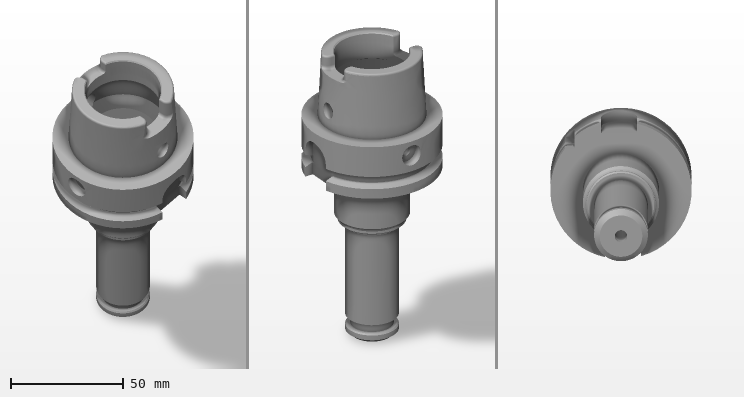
import cadquery as cq
import math

FEATURE_TURN = -12.0

TAPER_TOP = 32.0
TAPER_GAUGE_Z = 6.3
TAPER_GAUGE_RADIUS = 24.005
TAPER_RATIO = 9.98
RIM_ROUNDING = 1.0

BORE_RADIUS = 17.0
BORE_CHAMFER = 0.5
LIP_Z = 19.0
CLAMP_RADIUS = 20.0
CLAMP_ANGLE = 60.0
CLAMP_FLOOR_Z = 6.0
BORE_FLOOR_RADIUS = 15.6
TUBE_HOLE_RADIUS = 8.5
TUBE_HOLE_BOTTOM = -12.0
COOLANT_RADIUS = 2.75

DRIVE_WIDTH = 12.54
DRIVE_DEPTH_SHALLOW = 6.3
DRIVE_DEPTH_DEEP = 10.0
TOOTH_CORNER_RADIUS = 3.0
DRIVE_FLOOR_FILLET = 1.5

CROSS_HOLE_RADIUS = 3.75
CROSS_HOLE_Z = 8.8

FLANGE_RADIUS = 31.5
FLANGE_BOTTOM = -26.0
GROOVE_Z = -18.125
GROOVE_FLOOR_WIDTH = 3.6
GROOVE_RADIUS = 27.5
GROOVE_LEDGE_RADIUS = 28.3
FLANK_HEIGHT = 1.3

KEYWAY_WIDTH = 16.0
KEYWAY_TOP = -5.0
KEYWAY_FLOOR = 26.5

NOTCH_FLOOR = 20.0
NOTCH_EDGE = 20.0
NOTCH_RADIUS = 5.0
NOTCH_TOP = -5.5

CARRIER_RADIUS = 5.0
CARRIER_FLOOR = 27.0
CARRIER_Z = -7.1
PILOT_RADIUS = 2.0
PILOT_DEPTH = 2.5
PILOT_TIP_ANGLE = 118.0

NOSE_RADIUS = 17.0
NOSE_BOTTOM = -49.2
NOSE_CHAMFER = 1.0
SPIGOT_RADIUS = 15.4
SPIGOT_CONE_HEIGHT = 1.0
SPIGOT_BOTTOM = -53.0
SPIGOT_CHAMFER = 0.6
UPPER_NECK_RADIUS = 10.0
SHAFT_TOP = -55.0
SHAFT_RADIUS = 12.0
SHAFT_BOTTOM = -100.4
LOWER_NECK_RADIUS = 9.75
HEAD_TOP = -105.0
HEAD_TOP_CHAMFER = 0.6
HEAD_CONE_TOP = -108.0
HEAD_TIP_RADIUS = 9.5
PART_BOTTOM = -110.0

MARGIN = 5.0
SELECT_SLACK = 0.1


def taper_radius(z):
    return TAPER_GAUGE_RADIUS + (TAPER_GAUGE_Z - z) / (2 * TAPER_RATIO)


def revolved(points):
    """Solid of revolution about Z from (radius, z) points."""
    return cq.Workplane("XZ").polyline(points).close().revolve(360, (0, 0), (0, 1))


def outer_body():
    half_floor = GROOVE_FLOOR_WIDTH / 2
    groove_top = GROOVE_Z + half_floor
    groove_low = GROOVE_Z - half_floor
    body = revolved([
        (0, TAPER_TOP),
        (taper_radius(TAPER_TOP), TAPER_TOP),
        (taper_radius(0), 0),
        (FLANGE_RADIUS, 0),
        (FLANGE_RADIUS, groove_top + FLANK_HEIGHT),
        (GROOVE_LEDGE_RADIUS, groove_top),
        (GROOVE_RADIUS, groove_top),
        (GROOVE_RADIUS, groove_low),
        (GROOVE_LEDGE_RADIUS, groove_low),
        (FLANGE_RADIUS, groove_low - FLANK_HEIGHT),
        (FLANGE_RADIUS, FLANGE_BOTTOM),
        (NOSE_RADIUS, FLANGE_BOTTOM),
        (NOSE_RADIUS, NOSE_BOTTOM),
        (NOSE_RADIUS - NOSE_CHAMFER, NOSE_BOTTOM - NOSE_CHAMFER),
        (SPIGOT_RADIUS, NOSE_BOTTOM - NOSE_CHAMFER - SPIGOT_CONE_HEIGHT),
        (SPIGOT_RADIUS, SPIGOT_BOTTOM + SPIGOT_CHAMFER),
        (SPIGOT_RADIUS - SPIGOT_CHAMFER, SPIGOT_BOTTOM),
        (UPPER_NECK_RADIUS, SPIGOT_BOTTOM),
        (UPPER_NECK_RADIUS, SHAFT_TOP),
        (SHAFT_RADIUS, SHAFT_TOP),
        (SHAFT_RADIUS, SHAFT_BOTTOM),
        (LOWER_NECK_RADIUS, SHAFT_BOTTOM),
        (LOWER_NECK_RADIUS, HEAD_TOP),
        (SHAFT_RADIUS - HEAD_TOP_CHAMFER, HEAD_TOP),
        (SHAFT_RADIUS, HEAD_TOP - HEAD_TOP_CHAMFER),
        (SHAFT_RADIUS, HEAD_CONE_TOP),
        (HEAD_TIP_RADIUS, PART_BOTTOM),
        (0, PART_BOTTOM),
    ])
    return body.faces(">Z").edges().fillet(RIM_ROUNDING)


def inner_contour():
    shoulder_height = (CLAMP_RADIUS - BORE_RADIUS) / math.tan(math.radians(CLAMP_ANGLE))
    floor_z = CLAMP_FLOOR_Z - (CLAMP_RADIUS - BORE_FLOOR_RADIUS)
    return revolved([
        (0, TAPER_TOP),
        (BORE_RADIUS + BORE_CHAMFER, TAPER_TOP),
        (BORE_RADIUS, TAPER_TOP - BORE_CHAMFER),
        (BORE_RADIUS, LIP_Z),
        (CLAMP_RADIUS, LIP_Z - shoulder_height),
        (CLAMP_RADIUS, CLAMP_FLOOR_Z),
        (BORE_FLOOR_RADIUS, floor_z),
        (TUBE_HOLE_RADIUS, floor_z),
        (TUBE_HOLE_RADIUS, TUBE_HOLE_BOTTOM),
        (COOLANT_RADIUS, TUBE_HOLE_BOTTOM),
        (COOLANT_RADIUS, PART_BOTTOM),
        (0, PART_BOTTOM),
    ])


def drive_slot_outline(depth):
    """Closed slot outline along +X whose mouth flares around the rounded tooth corners."""
    rim = taper_radius(TAPER_TOP - depth)
    half = DRIVE_WIDTH / 2
    corner_y = half + TOOTH_CORNER_RADIUS
    corner_x = math.sqrt((rim - TOOTH_CORNER_RADIUS) ** 2 - corner_y ** 2)
    end_angle = math.atan2(corner_y, corner_x)
    mid_angle = (end_angle - math.pi / 2) / 2

    def on_corner(angle):
        return (corner_x + TOOTH_CORNER_RADIUS * math.cos(angle),
                corner_y + TOOTH_CORNER_RADIUS * math.sin(angle))

    mid_x, mid_y = on_corner(mid_angle)
    end_x, end_y = on_corner(end_angle)
    lead_x = end_x - MARGIN * math.sin(end_angle)
    lead_y = end_y + MARGIN * math.cos(end_angle)
    outside = rim + MARGIN
    return (
        cq.Workplane("XY")
        .moveTo(0, -half)
        .lineTo(corner_x, -half)
        .threePointArc((mid_x, -mid_y), (end_x, -end_y))
        .lineTo(lead_x, -lead_y)
        .lineTo(outside, -lead_y)
        .lineTo(outside, lead_y)
        .lineTo(lead_x, lead_y)
        .lineTo(end_x, end_y)
        .threePointArc((mid_x, mid_y), (corner_x, half))
        .lineTo(0, half)
        .close()
    )


def flank_box(z):
    """Selects the edges of a driving slot's flanks that lie at height z."""
    reach = FLANGE_RADIUS
    rim = taper_radius(TAPER_TOP)
    return cq.selectors.BoxSelector(
        (SELECT_SLACK, -reach, z - SELECT_SLACK),
        (rim, reach, z + SELECT_SLACK),
    )


def drive_slot(depth):
    """Cutter for a driving slot, with a filleted floor and a flared mouth that rounds the top edges."""
    slot = drive_slot_outline(depth).extrude(depth)
    slot = slot.faces("<Z").edges(flank_box(0)).fillet(DRIVE_FLOOR_FILLET)
    slot = slot.translate((0, 0, TAPER_TOP - depth))
    plate_size = 4 * FLANGE_RADIUS
    plate = cq.Workplane("XY", origin=(0, 0, TAPER_TOP)).rect(plate_size, plate_size).extrude(MARGIN)
    return slot.union(plate).edges(flank_box(TAPER_TOP)).fillet(RIM_ROUNDING)


def keyway():
    """Round-topped keyway on the +X side, open to the flange underside."""
    radius = KEYWAY_WIDTH / 2
    shoulder_z = KEYWAY_TOP - radius
    return (
        cq.Workplane("YZ", origin=(KEYWAY_FLOOR, 0, 0))
        .moveTo(-radius, FLANGE_BOTTOM)
        .lineTo(-radius, shoulder_z)
        .threePointArc((0, KEYWAY_TOP), (radius, shoulder_z))
        .lineTo(radius, FLANGE_BOTTOM)
        .close()
        .extrude(FLANGE_RADIUS)
    )


def indexing_notch():
    """Notch on the -X side, open to +Y and to the flange underside."""
    shoulder_z = NOTCH_TOP - NOTCH_RADIUS
    crown_y = NOTCH_EDGE + NOTCH_RADIUS
    bend = NOTCH_RADIUS * math.sqrt(0.5)
    return (
        cq.Workplane("YZ", origin=(-NOTCH_FLOOR, 0, 0))
        .moveTo(NOTCH_EDGE, FLANGE_BOTTOM)
        .lineTo(NOTCH_EDGE, shoulder_z)
        .threePointArc((crown_y - bend, shoulder_z + bend), (crown_y, NOTCH_TOP))
        .lineTo(FLANGE_RADIUS, NOTCH_TOP)
        .lineTo(FLANGE_RADIUS, FLANGE_BOTTOM)
        .close()
        .extrude(-FLANGE_RADIUS)
    )


def cross_holes():
    """One drill along X that pierces both sides of the hollow taper."""
    length = 2 * FLANGE_RADIUS
    return (
        cq.Workplane("YZ", origin=(-FLANGE_RADIUS, 0, CROSS_HOLE_Z))
        .circle(CROSS_HOLE_RADIUS)
        .extrude(length)
    )


def carrier_hole():
    """Blind hole on the -Y side with a drilled pilot in its floor."""
    tip_length = PILOT_RADIUS / math.tan(math.radians(PILOT_TIP_ANGLE / 2))
    pilot_end = CARRIER_FLOOR - PILOT_DEPTH
    profile = (
        cq.Workplane("XY", origin=(0, 0, CARRIER_Z))
        .polyline([
            (0, -FLANGE_RADIUS - MARGIN),
            (CARRIER_RADIUS, -FLANGE_RADIUS - MARGIN),
            (CARRIER_RADIUS, -CARRIER_FLOOR),
            (PILOT_RADIUS, -CARRIER_FLOOR),
            (PILOT_RADIUS, -pilot_end),
            (0, tip_length - pilot_end),
        ])
        .close()
    )
    return profile.revolve(360, (0, 0), (0, 1))


def turned_about_axis(body, angle):
    return body.rotate((0, 0, 0), (0, 0, 1), angle)


arbor = outer_body()
arbor = arbor.cut(drive_slot(DRIVE_DEPTH_DEEP))
arbor = arbor.cut(turned_about_axis(drive_slot(DRIVE_DEPTH_SHALLOW), 180))
arbor = arbor.cut(inner_contour())
for side_angle in (0, 180):
    arbor = arbor.cut(turned_about_axis(keyway(), side_angle))
arbor = arbor.cut(indexing_notch())
arbor = arbor.cut(cross_holes())
arbor = arbor.cut(carrier_hole())

result = turned_about_axis(arbor, FEATURE_TURN)